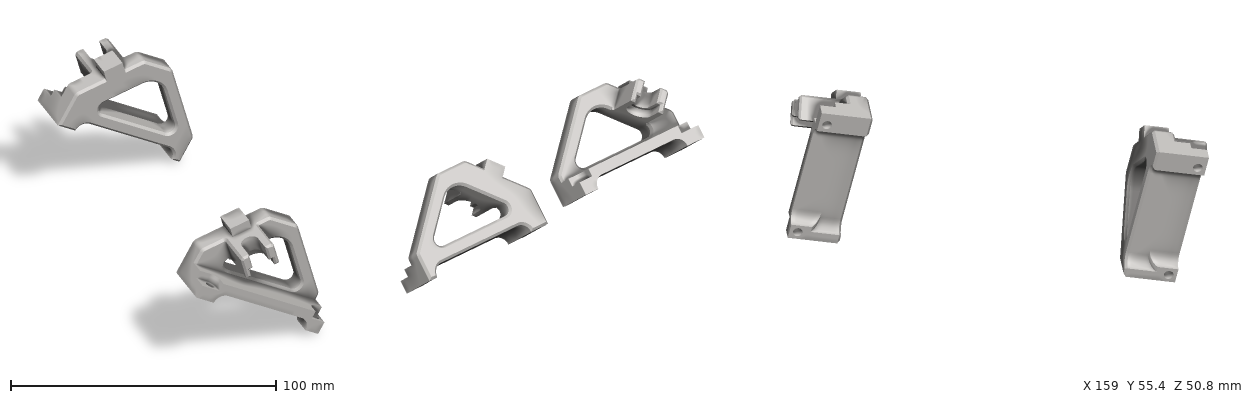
import cadquery as cq
import math

overall_length = 159.0
tip_x = -overall_length / 2
bar_x = tip_x + 4.0
wall_x = tip_x + 15.5
boss_x = tip_x + 14.6
inner_x = tip_x + 24.2

base_tilt = 30.0
roof_angle = 45.0

base_length = 57.7
ledge_height = 8.5
shoulder_height = 35.1
roof_offset = 51.2
rear_offset = -8.0
outline_radius = 2.5
chamfer = 1.0

foot_length = 6.0
front_foot_length = 8.3
arch_height = 4.3
arch_radius = arch_height
sole_clearance = 0.8
rear_relief = 2.2
relief_bottom_x = tip_x + 12.1
relief_top_x = tip_x + 15.5

window_floor = 9.7
window_rear = -2.7
window_roof = 41.5
window_radius = 2.7
window_crown_radius = 7.6

screw_x = tip_x + 7.2
pocket_radius = 3.0
pocket_floor = 5.2
rear_screw = 3.0
front_screw = 52.6
screw_diameter = 3.7

fork_center = 13.8
fork_width = 14.0
fork_root_radius = 0.6
slot_width = 6.8
recess_width = 10.0
recess_depth = 3.2
tip_chamfer = 0.8

block_width = 8.0
block_height = 4.0


def side_plane(x):
    """Sketch plane at x: sketch x along the base, sketch y up; extrudes toward -X."""
    return cq.Workplane(cq.Plane((x, 0, 0), (0, -1, 0), (-1, 0, 0)))


def roof_point(along_roof, offset):
    """Convert roof-aligned coordinates to base-aligned ones."""
    turn = math.radians(roof_angle)
    return (
        along_roof * math.cos(turn) + offset * math.sin(turn),
        offset * math.cos(turn) - along_roof * math.sin(turn),
    )


def onto_roof(solid):
    """Turn a solid drawn upright so that it stands on the sloping roof."""
    return solid.rotate((0, 0, 0), (1, 0, 0), roof_angle)


def edge_near(solid, x, point):
    """The X-parallel edge closest to a side-outline point."""
    return solid.edges("|X").edges(cq.NearestToPointSelector((x, -point[0], point[1])))


def outline(bottom):
    """Outer side outline of the wall, cut off at the given height."""
    diagonal = math.sqrt(2)
    rear_low = (0, -rear_offset * diagonal)
    rear_high = (shoulder_height + rear_offset * diagonal, shoulder_height)
    roof_rear = (roof_offset * diagonal - shoulder_height, shoulder_height)
    roof_front = (base_length, roof_offset * diagonal - base_length)
    return [(0, bottom), rear_low, rear_high, roof_rear, roof_front, (base_length, bottom)]


def make_wall():
    points = outline(pocket_floor)
    depth = inner_x - wall_x
    wall = side_plane(inner_x).polyline(points).close().extrude(depth)
    for corner in points[1:-1]:
        wall = edge_near(wall, inner_x - depth / 2, corner).fillet(outline_radius)
    return wall


def make_window():
    diagonal = math.sqrt(2)
    crown = roof_point(window_rear, window_roof)
    rear = (window_floor + window_rear * diagonal, window_floor)
    front = (window_roof * diagonal - window_floor, window_floor)
    depth = inner_x - wall_x
    window = side_plane(inner_x).polyline([rear, crown, front]).close().extrude(depth)
    window = edge_near(window, inner_x - depth / 2, crown).fillet(window_crown_radius)
    for corner in (rear, front):
        window = edge_near(window, inner_x - depth / 2, corner).fillet(window_radius)
    return window


def make_arch(depth, rear_end):
    """Opening between the feet from the inner face outward, with rounded ceiling ends."""
    front_end = base_length - front_foot_length
    return (
        side_plane(inner_x)
        .moveTo(rear_end, -sole_clearance)
        .lineTo(rear_end, arch_height - arch_radius)
        .radiusArc((rear_end + arch_radius, arch_height), arch_radius)
        .lineTo(front_end - arch_radius, arch_height)
        .radiusArc((front_end, arch_height - arch_radius), arch_radius)
        .lineTo(front_end, -sole_clearance)
        .close()
        .extrude(depth)
    )


def make_arch_relief():
    """Longer arch next to the inner face, ended by a slanted wall."""
    reach = inner_x - relief_bottom_x
    relief = make_arch(reach, foot_length - rear_relief)
    keep = (
        cq.Workplane("XZ")
        .polyline([
            (relief_bottom_x, 0),
            (relief_top_x, arch_height),
            (inner_x, arch_height),
            (inner_x, 0),
        ])
        .close()
        .extrude(base_length)
    )
    return relief.intersect(keep)


def make_bar():
    depth = inner_x - bar_x
    return side_plane(inner_x).rect(base_length, ledge_height, centered=False).extrude(depth)


def make_pocket(screw, end):
    """Corner pocket from the end of the bar to just past the screw, with the screw hole."""
    inner_end = screw + math.copysign(pocket_radius, screw - end)
    pocket_end_x = screw_x + pocket_radius
    height = ledge_height - pocket_floor
    pocket = (
        cq.Workplane("XY", origin=(0, 0, pocket_floor))
        .moveTo((bar_x + pocket_end_x) / 2, -(inner_end + end) / 2)
        .rect(pocket_end_x - bar_x, abs(inner_end - end))
        .extrude(height)
    )
    corner = cq.NearestToPointSelector((pocket_end_x, -inner_end, pocket_floor + height / 2))
    pocket = pocket.edges("|Z").edges(corner).fillet(pocket_radius * 0.99)
    hole = cq.Workplane("XY").center(screw_x, -screw).circle(screw_diameter / 2).extrude(ledge_height)
    return pocket.union(hole)


def make_open_slot(width, bottom, top):
    """Slot open toward the arm tips, with a round end centred above the screws."""
    return (
        cq.Workplane("XY", origin=(screw_x, -fork_center, bottom))
        .moveTo(tip_x - screw_x, width / 2)
        .lineTo(0, width / 2)
        .threePointArc((width / 2, 0), (0, -width / 2))
        .lineTo(tip_x - screw_x, -width / 2)
        .close()
        .extrude(top - bottom)
    )


def make_fork_blank():
    """Solid plate of the fork with rounded roots, reaching into the wall."""
    half = fork_width / 2
    spread = half + fork_root_radius
    root_x = (wall_x + inner_x) / 2
    blank = (
        cq.Workplane("XY", origin=(0, -fork_center, window_roof))
        .moveTo(tip_x, half)
        .lineTo(wall_x - fork_root_radius, half)
        .radiusArc((wall_x, spread), -fork_root_radius)
        .lineTo(root_x, spread)
        .lineTo(root_x, -spread)
        .lineTo(wall_x, -spread)
        .radiusArc((wall_x - fork_root_radius, -half), -fork_root_radius)
        .lineTo(tip_x, -half)
        .close()
        .extrude(roof_offset - window_roof)
    )
    return onto_roof(blank)


def chamfer_rim(body):
    """Chamfer the outer rim of wall and fork; each side is one smooth chain of edges."""
    for side in (-1, 1):
        along, height = roof_point(fork_center + side * fork_width / 2, roof_offset)
        seed = cq.NearestToPointSelector(((tip_x + wall_x) / 2, -along, height))
        body = body.edges(seed).chamfer(chamfer)
    return body


def make_opening():
    """Window with a flared outer mouth, kept clear of the fork."""
    frame = make_wall().cut(make_window())
    mouth = cq.selectors.LengthNthSelector(0)
    frame = frame.faces("<X").wires(mouth).chamfer(chamfer)
    return make_wall().cut(frame).cut(make_fork_blank())


def cut_fork_slot(body):
    step = window_roof + recess_depth
    body = body.cut(onto_roof(make_open_slot(slot_width, window_roof, roof_offset)))
    body = body.cut(onto_roof(make_open_slot(recess_width, window_roof, step)))
    return body.faces("<X").chamfer(tip_chamfer)


def make_block():
    block = (
        side_plane(inner_x)
        .moveTo(fork_center, roof_offset)
        .rect(block_width, 2 * block_height)
        .extrude(inner_x - boss_x)
    )
    return onto_roof(block)


def make_bracket():
    wall = chamfer_rim(make_wall().union(make_fork_blank()))
    wall = cut_fork_slot(wall.cut(make_opening()))
    bracket = wall.union(make_bar())
    bracket = bracket.cut(make_arch(inner_x - bar_x, foot_length))
    bracket = bracket.cut(make_arch_relief())
    bracket = bracket.faces(">X").chamfer(chamfer)
    bracket = bracket.cut(make_pocket(rear_screw, 0))
    bracket = bracket.cut(make_pocket(front_screw, base_length))
    bracket = bracket.union(make_block())
    return bracket.rotate((0, 0, 0), (1, 0, 0), -base_tilt)


left_bracket = make_bracket()
right_bracket = left_bracket.mirror("YZ")

result = cq.Compound.makeCompound([left_bracket.val(), right_bracket.val()])